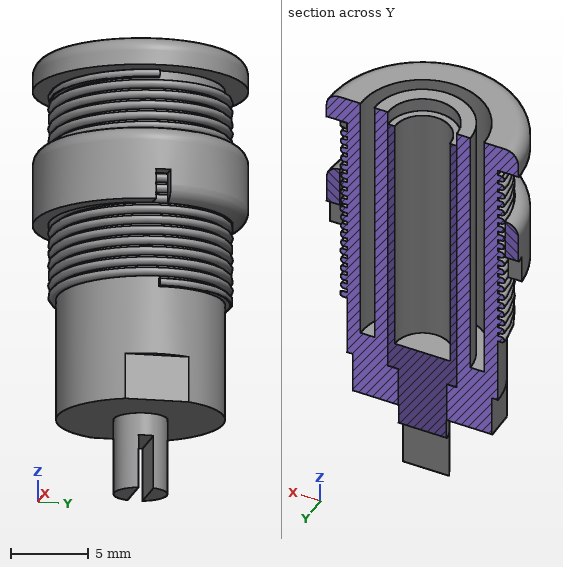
import cadquery as cq
import math

total_height = 29.0
housing_bottom = 5.0
flats_top = 8.0
recess_floor = 10.0
thread_start = 12.75
nut_bottom = 18.0
nut_top = 23.0
head_bottom = 27.0

head_diameter = 14.0
thread_diameter = 12.0
body_diameter = 11.0
recess_diameter = 9.0
sleeve_diameter = 7.0
socket_diameter = 5.0
socket_bore_diameter = 4.0
tail_diameter = 3.5

thread_turns = 20
thread_length = 14.0
thread_pitch = thread_length / thread_turns
thread_width = 0.5
thread_embed = 0.12

across_flats = 10.15
socket_setback = 1.0
slot_width = 1.0
nut_slot_depth = 2.0
tail_slot_depth = 3.5

edge_radius = (head_diameter - thread_diameter) / 2


def cylinder(diameter, bottom, top):
    return cq.Workplane("XY").workplane(offset=bottom).circle(diameter / 2).extrude(top - bottom)


def slot_along_x(bottom, top):
    """Cutter that crosses the whole part parallel to X."""
    return (
        cq.Workplane("XY")
        .box(2 * head_diameter, slot_width, top - bottom, centered=(True, True, False))
        .translate((0, 0, bottom))
    )


def make_thread():
    """Right-handed helical ridge with a rounded crest, starting and ending on +X."""
    half_width = thread_width / 2
    root = body_diameter / 2 - thread_embed
    crest = thread_diameter / 2
    path = cq.Wire.makeHelix(thread_pitch, thread_length, body_diameter / 2).translate(
        cq.Vector(0, 0, thread_start)
    )
    return (
        cq.Workplane("XZ")
        .moveTo(root, thread_start - half_width)
        .lineTo(crest - half_width, thread_start - half_width)
        .threePointArc((crest, thread_start), (crest - half_width, thread_start + half_width))
        .lineTo(root, thread_start + half_width)
        .close()
        .sweep(cq.Workplane(path), isFrenet=True)
    )


def make_housing():
    body = cylinder(body_diameter, housing_bottom, head_bottom)
    body = body.union(make_thread())

    head = cylinder(head_diameter, head_bottom, total_height).faces(">Z").edges().fillet(edge_radius)
    body = body.union(head)

    recess = cylinder(recess_diameter, recess_floor, total_height)
    recess = recess.cut(cylinder(sleeve_diameter, recess_floor, total_height))
    body = body.cut(recess)

    body = body.cut(cylinder(socket_diameter, flats_top, total_height))
    body = body.cut(cylinder(tail_diameter, housing_bottom, flats_top))

    keep = cq.Workplane("XY").box(
        across_flats, head_diameter, flats_top - housing_bottom, centered=(True, True, False)
    ).translate((0, 0, housing_bottom))
    flats = cylinder(head_diameter, housing_bottom, flats_top).cut(keep)
    return body.cut(flats)


def nut_half(round_bottom):
    """Half ring on the -Y side, optionally rounded around its lower edge."""
    inner = thread_diameter / 2
    outer = head_diameter / 2
    mid = inner + edge_radius * math.sqrt(0.5)
    arc_rise = edge_radius * (1 - math.sqrt(0.5))
    profile = cq.Workplane("XZ").moveTo(inner, nut_top)
    profile = profile.threePointArc((mid, nut_top - arc_rise), (outer, nut_top - edge_radius))
    if round_bottom:
        profile = profile.lineTo(outer, nut_bottom + edge_radius)
        profile = profile.threePointArc((mid, nut_bottom + arc_rise), (inner, nut_bottom))
    else:
        profile = profile.lineTo(outer, nut_bottom).lineTo(inner, nut_bottom)
    return profile.close().revolve(180, (0, 0, 0), (0, -1, 0))


def make_nut():
    """Ring nut: lower edge rounded on the +Y half only, slotted on both X sides."""
    plain_half = nut_half(round_bottom=False)
    rounded_half = nut_half(round_bottom=True).rotate((0, 0, 0), (0, 0, 1), 180)
    nut = plain_half.union(rounded_half)
    return nut.cut(slot_along_x(nut_bottom, nut_bottom + nut_slot_depth))


def make_contact():
    rim = total_height - socket_setback
    contact = cylinder(tail_diameter, 0, flats_top)
    contact = contact.union(cylinder(socket_diameter, flats_top, rim))
    contact = contact.cut(cylinder(socket_bore_diameter, recess_floor, rim))
    return contact.cut(slot_along_x(0, tail_slot_depth))


housing = make_housing()
nut = make_nut()
contact = make_contact()

result = cq.Compound.makeCompound(
    [housing.solids().val(), nut.solids().val(), contact.solids().val()]
)